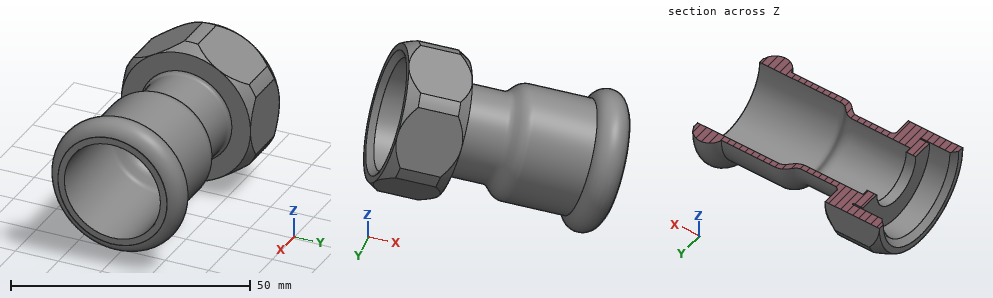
import cadquery as cq
import math

length = 49.5

nut_length = 14.0
nut_across_flats = 30.0
nut_corner_diameter = 32.95
nut_chamfer_angle = 30.0
nut_bore_diameter = 24.4
nut_mouth_chamfer = 1.35

seat_x = 6.4
seat_diameter = 24.0
seat_bore_diameter = 14.0
seat_thickness = 2.48

neck_diameter = 20.0
neck_bore_diameter = 17.0
socket_diameter = 25.3
wall = (neck_diameter - neck_bore_diameter) / 2
neck_start_x = 15.05
neck_end_x = 23.55
neck_bend_radius = 2.1
socket_bend_radius = 3.5
shoulder_angle = math.radians(45)

flare_radius = 1.15

bead_diameter = 30.8
bead_width = 7.35

neck_radius = neck_diameter / 2
socket_radius = socket_diameter / 2
bend_sum = neck_bend_radius + socket_bend_radius
cone_rise = socket_radius - neck_radius - bend_sum * (1 - math.cos(shoulder_angle))
cone_run = cone_rise / math.tan(shoulder_angle)
socket_start_x = neck_end_x + bend_sum * math.sin(shoulder_angle) + cone_run


def revolve_about_x(profile):
    return profile.close().revolve(360, (0, 0, 0), (1, 0, 0))


def cylinder(diameter, start_x, end_x):
    return cq.Workplane("YZ").workplane(offset=start_x).circle(diameter / 2).extrude(end_x - start_x)


def arc_point(center, radius, angle):
    """Point on a circle, with the angle measured from the X axis."""
    return (center[0] + radius * math.cos(angle), center[1] + radius * math.sin(angle))


def tube_solid(start_x, inset):
    """Solid inside the tube's outer surface, moved inward by the inset."""
    neck_center = (neck_end_x, neck_radius + neck_bend_radius)
    socket_center = (socket_start_x, socket_radius - socket_bend_radius)
    neck_bend = neck_bend_radius + inset
    socket_bend = socket_bend_radius - inset
    down = -math.pi / 2
    up = math.pi / 2
    profile = (
        cq.Workplane("XY")
        .moveTo(start_x, 0)
        .lineTo(start_x, neck_radius - inset)
        .lineTo(neck_end_x, neck_radius - inset)
        .threePointArc(
            arc_point(neck_center, neck_bend, down + shoulder_angle / 2),
            arc_point(neck_center, neck_bend, down + shoulder_angle),
        )
        .lineTo(*arc_point(socket_center, socket_bend, up + shoulder_angle))
        .threePointArc(
            arc_point(socket_center, socket_bend, up + shoulder_angle / 2),
            (socket_start_x, socket_radius - inset),
        )
        .lineTo(length, socket_radius - inset)
        .lineTo(length, 0)
    )
    return revolve_about_x(profile)


def bead():
    """Full-round ring around the socket mouth."""
    round_radius = bead_width / 2
    side_radius = bead_diameter / 2 - round_radius
    start_x = length - bead_width
    profile = (
        cq.Workplane("XY")
        .moveTo(start_x, 0)
        .lineTo(start_x, side_radius)
        .threePointArc((start_x + round_radius, bead_diameter / 2), (length, side_radius))
        .lineTo(length, 0)
    )
    return revolve_about_x(profile)


def neck_flare():
    """Concave flare of the neck, cut short by the back face of the nut."""
    center = (neck_start_x, neck_radius + flare_radius)
    sweep = math.asin((neck_start_x - nut_length) / flare_radius)
    down = -math.pi / 2
    profile = (
        cq.Workplane("XY")
        .moveTo(nut_length, 0)
        .lineTo(*arc_point(center, flare_radius, down - sweep))
        .threePointArc(arc_point(center, flare_radius, down - sweep / 2), (neck_start_x, neck_radius))
        .lineTo(neck_start_x, 0)
    )
    return revolve_about_x(profile)


def nut_blank():
    """Hexagon with corners on top and bottom, rounded and chamfered at both ends."""
    flat_radius = nut_across_flats / 2
    corner_radius = nut_corner_diameter / 2
    chamfer_length = (corner_radius - flat_radius) / math.tan(math.radians(nut_chamfer_angle))
    hexagon = (
        cq.Workplane("YZ")
        .transformed(rotate=(0, 0, 90))
        .polygon(6, nut_across_flats / math.cos(math.pi / 6))
        .extrude(nut_length)
    )
    envelope = (
        cq.Workplane("XY")
        .moveTo(0, 0)
        .lineTo(0, flat_radius)
        .lineTo(chamfer_length, corner_radius)
        .lineTo(nut_length - chamfer_length, corner_radius)
        .lineTo(nut_length, flat_radius)
        .lineTo(nut_length, 0)
    )
    return hexagon.intersect(revolve_about_x(envelope))


def nut_cavity():
    """Chamfered nut bore, with a narrow gap around the rim of the seat."""
    seat_end_x = seat_x + seat_thickness
    bore_radius = nut_bore_diameter / 2
    profile = (
        cq.Workplane("XY")
        .moveTo(0, 0)
        .lineTo(0, bore_radius + nut_mouth_chamfer)
        .lineTo(nut_mouth_chamfer, bore_radius)
        .lineTo(seat_end_x, bore_radius)
        .lineTo(seat_end_x, 0)
    )
    return revolve_about_x(profile).cut(cylinder(seat_diameter, seat_x, seat_end_x))


outside = nut_blank().union(neck_flare()).union(tube_solid(seat_x, 0)).union(bead())
result = (
    outside.cut(nut_cavity())
    .cut(cylinder(seat_bore_diameter, 0, neck_start_x))
    .cut(tube_solid(seat_x + seat_thickness, wall))
)